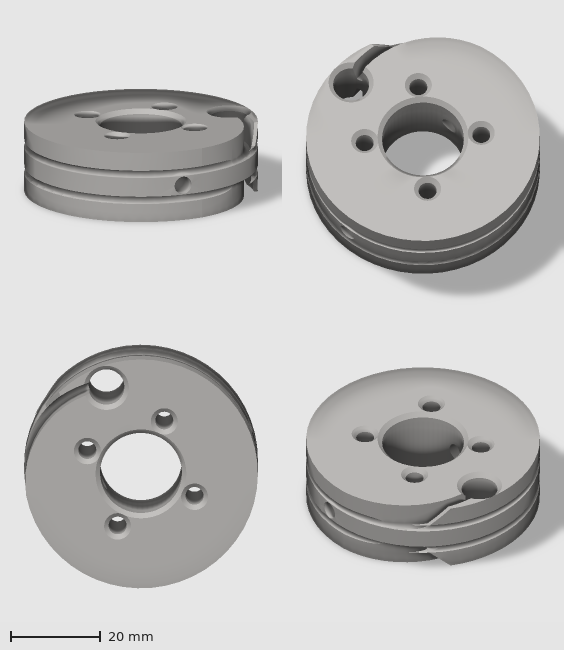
import cadquery as cq
import math

disc_diameter = 52.0
disc_thickness = 16.0
disc_radius = disc_diameter / 2
mid_height = disc_thickness / 2
edge_chamfer = 1.0

groove_radius = 0.85
groove_offset = 3.0
upper_groove_z = mid_height + groove_offset

bore_diameter = 18.2
screw_hole_diameter = 4.0
screw_circle_diameter = 26.0
screw_count = 4
cross_hole_diameter = 4.0

anchor_diameter = 8.0
anchor_y = disc_radius - anchor_diameter / 2 - edge_chamfer

slot_bend_x = 5.0
slot_inner_radius = 21.1
slot_top_width = 2.5
slot_path_radius = slot_inner_radius + groove_radius
slot_start_angle = 8.0
slot_bend_angle = slot_start_angle + 90.0

lip_end_x = 10.2


def make_disc():
    return cq.Workplane("XY").circle(disc_radius).extrude(disc_thickness)


def make_rim_groove(height):
    return cq.Workplane("XZ").center(disc_radius, height).circle(groove_radius).revolve(
        360, (-disc_radius, 0), (-disc_radius, 1)
    )


def make_chamfered_hole(x, y, diameter):
    """Through hole with a 45 degree chamfer at both faces."""
    radius = diameter / 2
    wide_radius = radius + edge_chamfer
    outline = [
        (0, 0),
        (wide_radius, 0),
        (radius, edge_chamfer),
        (radius, disc_thickness - edge_chamfer),
        (wide_radius, disc_thickness),
        (0, disc_thickness),
    ]
    hole = cq.Workplane("XZ").polyline(outline).close().revolve(360, (0, 0), (0, 1))
    return hole.translate((x, y, 0))


def make_upper_slot():
    """Round-bottomed slot: upright inner wall, outer wall leaning out from low on the round floor."""
    wall_foot = groove_radius * math.sin(math.radians(45))
    section = (
        cq.Workplane("YZ")
        .moveTo(slot_inner_radius, disc_thickness)
        .lineTo(slot_inner_radius, upper_groove_z)
        .threePointArc(
            (slot_path_radius, upper_groove_z - groove_radius),
            (slot_path_radius + wall_foot, upper_groove_z - wall_foot),
        )
        .lineTo(slot_inner_radius + slot_top_width, disc_thickness)
        .close()
    )
    swept = section.revolve(slot_bend_angle, (0, 0), (0, -1))
    swept = swept.rotate((0, 0, 0), (0, 0, 1), slot_start_angle)
    return swept.translate((slot_bend_x, 0, 0))


def make_lip_end():
    """Wedge that slopes the lip from the face down to the groove edge."""
    groove_top = upper_groove_z + groove_radius
    ramp_bottom_x = lip_end_x + disc_thickness - groove_top
    far_x = disc_radius * math.cos(math.radians(45))
    wedge = (
        cq.Workplane("XZ")
        .moveTo(lip_end_x, disc_thickness)
        .lineTo(ramp_bottom_x, groove_top)
        .lineTo(far_x, groove_top)
        .lineTo(far_x, disc_thickness)
        .close()
        .extrude(-disc_diameter)
    )
    outside_bend = (
        cq.Workplane("XY")
        .center(slot_bend_x, 0)
        .circle(disc_diameter)
        .circle(slot_path_radius)
        .extrude(disc_thickness)
    )
    return wedge.intersect(outside_bend)


def cut_both_faces(body, upper_cutter):
    lower_cutter = upper_cutter.mirror("XY", (0, 0, mid_height))
    return body.cut(upper_cutter).cut(lower_cutter)


result = make_disc()

for groove_z in (mid_height - groove_offset, mid_height + groove_offset):
    result = result.cut(make_rim_groove(groove_z))

result = cut_both_faces(result, make_upper_slot())
result = cut_both_faces(result, make_lip_end())

result = result.cut(make_chamfered_hole(0, 0, bore_diameter))
result = result.cut(make_chamfered_hole(0, anchor_y, anchor_diameter))
for index in range(screw_count):
    angle = math.radians(45 + index * 360 / screw_count)
    screw_x = screw_circle_diameter / 2 * math.cos(angle)
    screw_y = screw_circle_diameter / 2 * math.sin(angle)
    result = result.cut(make_chamfered_hole(screw_x, screw_y, screw_hole_diameter))

cross_hole = (
    cq.Workplane("YZ")
    .center(0, mid_height)
    .circle(cross_hole_diameter / 2)
    .extrude(disc_radius, both=True)
)
result = result.cut(cross_hole)